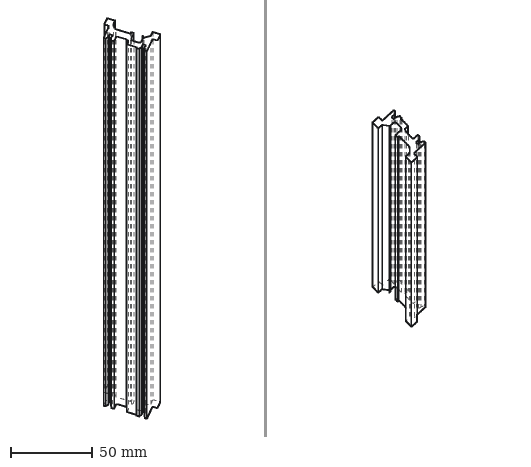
import cadquery as cq

length = 386.0
width = 35.0
depth = 15.0
half_width = width / 2
back = depth / 2
front = -depth / 2

rail_inner = 12.5
rail_front = 2.5
rail_corner_radius = 0.8

leg_outer = 14.3
leg_inner = 7.5
leg_root_radius = 0.5
slot_outer = 12.0
slot_inner = 10.0
mouth_flare = 0.95
mouth_height = 1.75

web_back = 1.5
web_front = -3.5
web_root_radius = 0.8
gusset = 2.7

channel_left = 2.0
channel_right = 8.5
channel_floor = -3.0
channel_radius = 1.5
ridge_left = 0.0
ridge_top = 2.7
lip_reach = 0.8
lip_height = 1.0
lip_root = 1.5
lip_notch = 9.0
trough_left = 0.8
trough_front = -7.0
trough_slope_run = 1.75
trough_slope_drop = 0.8


def side_points(side):
    """Rail and legs, from the foot of the rail to the inner leg; side is -1 or 1."""
    points = [
        (rail_inner, web_back + gusset),
        (rail_inner, back),
        (half_width, back),
        (half_width, rail_front),
        (leg_outer, rail_front),
        (leg_outer, front),
        (slot_outer + mouth_flare, front),
        (slot_outer, front + mouth_height),
        (slot_outer, web_front),
        (slot_inner, web_front),
        (slot_inner, front + mouth_height),
        (slot_inner - mouth_flare, front),
        (leg_inner, front),
    ]
    return [(side * x, y) for x, y in points]


def fillet_corner(body, x, y, radius):
    """Round the lengthwise edge that passes through (x, y)."""
    nearest = cq.selectors.NearestToPointSelector((x, y, length / 2))
    return body.edges("|Z").edges(nearest).fillet(radius)


web_front_points = [
    (-leg_inner, web_front),
    (trough_left - trough_slope_run, web_front),
    (trough_left, web_front - trough_slope_drop),
    (trough_left, trough_front),
    (leg_inner, trough_front),
]

web_back_points = [
    (lip_notch, lip_root),
    (channel_right - lip_reach, lip_root + lip_height),
    (channel_right - lip_reach, lip_root),
    (channel_right, lip_root - lip_height),
    (channel_right, channel_floor),
    (channel_left, channel_floor),
    (channel_left, ridge_top),
    (ridge_left, ridge_top),
    (ridge_left, web_back),
    (-rail_inner + gusset, web_back),
]

left_side = side_points(-1)
right_side = side_points(1)[::-1]
outline = left_side + web_front_points + right_side + web_back_points
result = cq.Workplane("XY").polyline(outline).close().extrude(length)

for side in (-1, 1):
    result = fillet_corner(result, side * half_width, rail_front, rail_corner_radius)
    result = fillet_corner(result, side * leg_outer, rail_front, leg_root_radius)
for wall in (channel_left, channel_right):
    result = fillet_corner(result, wall, channel_floor, channel_radius)
result = fillet_corner(result, -leg_inner, web_front, web_root_radius)